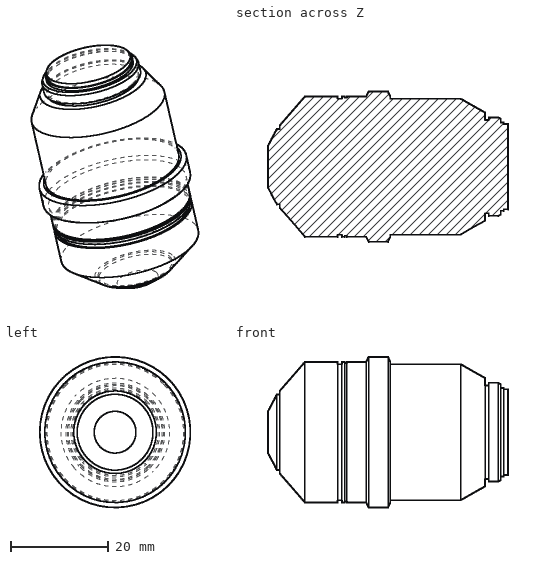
import cadquery as cq

length = 49.4
nose_cone_end = 1.85
nose_end = 2.4
front_cone_end = 7.6
wide_groove_start = 14.3
wide_groove_width = 0.9
narrow_groove_start = 15.8
narrow_groove_width = 0.45
flange_start = 20.2
flange_end = 25.2
flange_chamfer_length = 0.5
rear_cone_start = 39.6
rear_cone_end = 44.65
collar_start = 45.4
collar_end = 47.9
collar_chamfer_length = 0.6
shoulder_end = 48.5

tip_radius = 4.3
nose_radius = 7.8
front_cone_radius = 8.5
front_body_radius = 14.45
flange_radius = 15.5
flange_chamfer_depth = flange_radius - front_body_radius
rear_body_radius = 14.05
wide_groove_radius = rear_body_radius
narrow_groove_radius = 14.25
rear_cone_radius = 11.15
neck_radius = 9.65
collar_radius = 10.15
collar_chamfer_depth = 0.3
shoulder_radius = 9.15
end_radius = 8.85


def ring_groove(start, width, floor_radius):
    """Ring to cut from the front body, leaving a groove with the given floor radius."""
    return (
        cq.Workplane("YZ", origin=(start, 0, 0))
        .circle(flange_radius)
        .circle(floor_radius)
        .extrude(width)
    )


half_section = [
    (0, 0),
    (0, tip_radius),
    (nose_cone_end, nose_radius),
    (nose_end, nose_radius),
    (nose_end, front_cone_radius),
    (front_cone_end, front_body_radius),
    (flange_start, front_body_radius),
    (flange_start + flange_chamfer_length, flange_radius),
    (flange_end - flange_chamfer_length, flange_radius),
    (flange_end, flange_radius - flange_chamfer_depth),
    (flange_end, rear_body_radius),
    (rear_cone_start, rear_body_radius),
    (rear_cone_end, rear_cone_radius),
    (rear_cone_end, neck_radius),
    (collar_start, neck_radius),
    (collar_start, collar_radius),
    (collar_end - collar_chamfer_length, collar_radius),
    (collar_end, collar_radius - collar_chamfer_depth),
    (collar_end, shoulder_radius),
    (shoulder_end, shoulder_radius),
    (shoulder_end, end_radius),
    (length, end_radius),
    (length, 0),
]

body = cq.Workplane("XY").polyline(half_section).close().revolve(360, (0, 0, 0), (1, 0, 0))

wide_groove = ring_groove(wide_groove_start, wide_groove_width, wide_groove_radius)
narrow_groove = ring_groove(narrow_groove_start, narrow_groove_width, narrow_groove_radius)

result = body.cut(wide_groove).cut(narrow_groove)